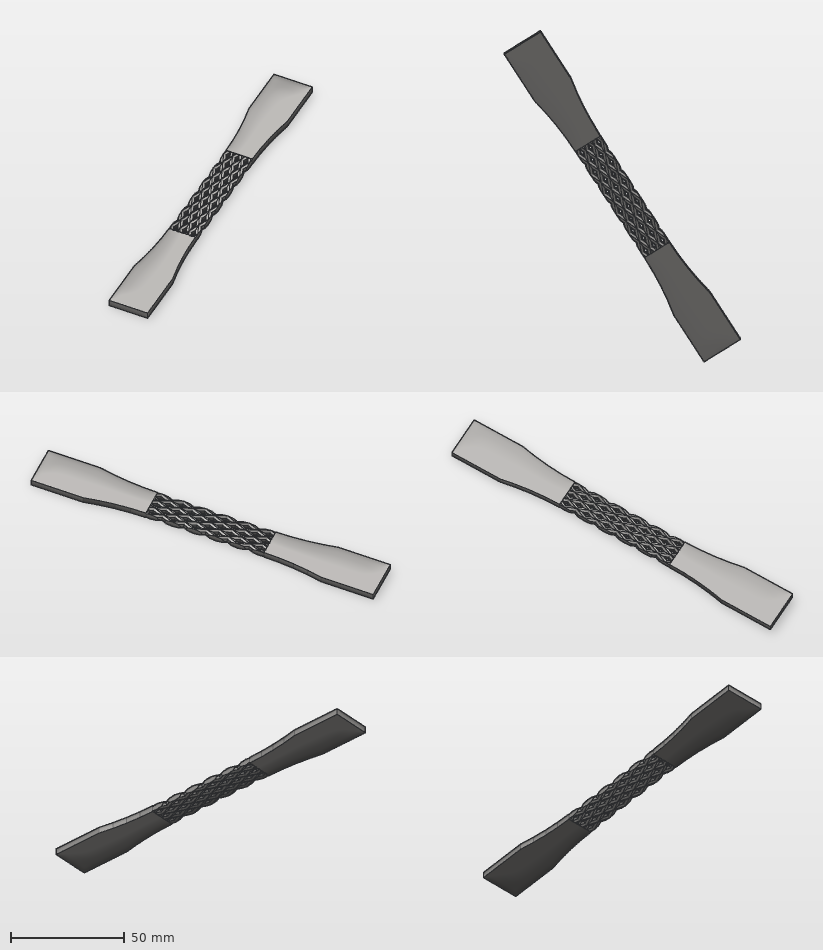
import cadquery as cq
import math

length = 165.0
grip_width = 19.0
thickness = 3.1

gauge_width = 13.0
gauge_length = 57.0
grip_length = 25.0
shoulder_facets = 4

cells_across = 3
strut_angle = 22.5
strut_sides = 8
strut_diameter = thickness


def shoulder_points():
    """Corners of the +X shoulder from waist to grip, on an arc tangent to the gauge side."""
    rise = (grip_width - gauge_width) / 2
    run = length / 2 - grip_length - gauge_length / 2
    radius = (run**2 + rise**2) / (2 * rise)
    sweep = math.asin(run / radius)
    angles = [sweep * index / shoulder_facets for index in range(shoulder_facets + 1)]
    return [
        (gauge_width / 2 + radius * (1 - math.cos(angle)), gauge_length / 2 + radius * math.sin(angle))
        for angle in angles
    ]


def make_end():
    """Solid end at +Y, widened from waist to grip by faceted shoulders."""
    right_side = shoulder_points() + [(grip_width / 2, length / 2)]
    left_side = [(-x, y) for x, y in reversed(right_side)]
    return (
        cq.Workplane("XY", origin=(0, 0, -thickness / 2))
        .polyline(right_side + left_side)
        .close()
        .extrude(thickness)
    )


def make_strut(x_center, angle):
    """Octagonal bar crossing the X axis at x_center, turned by angle from the Y axis."""
    strut_length = 2 * (gauge_length + gauge_width)
    return (
        cq.Workplane("XZ")
        .polygon(strut_sides, strut_diameter)
        .extrude(strut_length / 2, both=True)
        .rotate((0, 0, 0), (0, 0, 1), angle)
        .translate((x_center, 0, 0))
    )


def make_lattice():
    """Two crossing families of struts, trimmed to the gauge block."""
    strut_pitch = gauge_width / cells_across
    slant = math.radians(strut_angle)
    reach = gauge_width / 2 + gauge_length / 2 * math.tan(slant) + strut_diameter
    last = math.ceil(reach / strut_pitch)
    struts = [
        make_strut(index * strut_pitch, angle).val()
        for angle in (-strut_angle, strut_angle)
        for index in range(-last, last + 1)
    ]
    gauge_block = cq.Workplane("XY").box(gauge_width, gauge_length, thickness)
    return cq.Workplane(struts[0].fuse(*struts[1:])).intersect(gauge_block)


end = make_end()
result = make_lattice().union(end).union(end.mirror("XZ"))